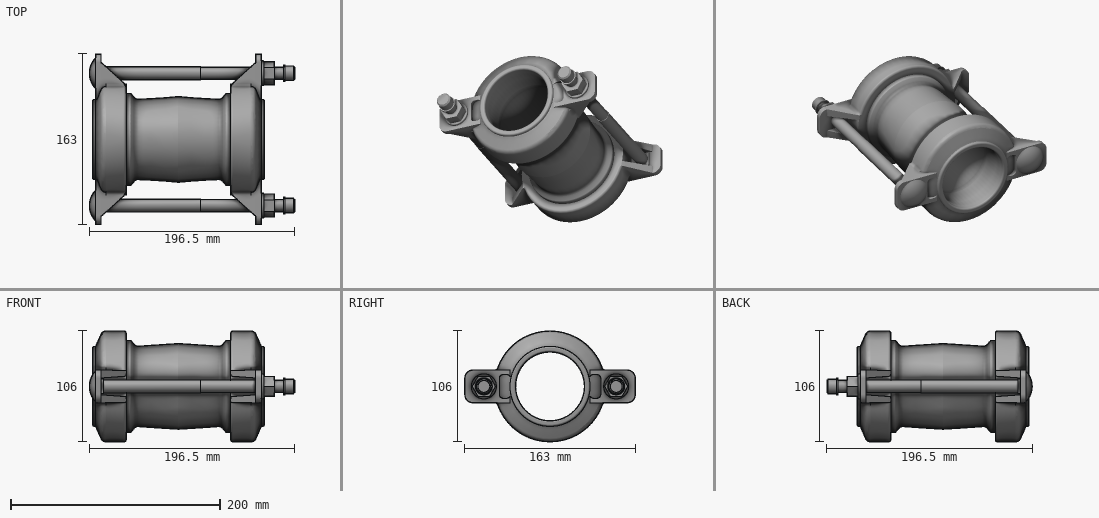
import cadquery as cq
import math

end_x = 82.1
plate_outer_x = 79.2
plate_thickness = 5.3
plate_inner_x = plate_outer_x - plate_thickness
ring_back_x = 50.0

bore_radius = 32.8
sleeve_bore_radius = 33.8
bore_taper_start_x = 49.1
bore_taper_end_x = 42.2
crown_radius = 41.0
waist_radius = 38.5
waist_x = 38.5
shoulder_radius = 39.9
shoulder_x = 42.0
flange_radius = 44.0
flange_x = 45.5
flange_rounding = 1.5

ring_radius = 53.0
cone_base_x = 72.7
ring_front_fillet = 5.3
ring_back_fillet = 2.4
lip_radius = 38.3
lip_rounding = 1.8
cone_angle = math.atan2(ring_radius - lip_radius, plate_outer_x - cone_base_x)
rim_start_x = cone_base_x - ring_front_fillet * math.tan(cone_angle / 2)

ear_half_length = 81.5
ear_half_width = 15.7
ear_corner_radius = 7.9
ear_root_y = 38.3
rib_tip_y = ear_half_length - ear_corner_radius
rib_shoulder_y = 54.0
rib_end_half_width = 15.1
rib_root_inner_z = 8.0
rib_end_inner_z = 9.8
rib_root_fillet = 3.1
slot_inner_y = 37.7
slot_outer_y = 48.5
slot_half_height = 11.4
slot_corner_radius = 4.0

bolt_y = 63.3
head_radius = 14.7
head_height = 6.0
neck_side = 13.8
neck_length = 2.4
shank_radius = 6.3
thread_radius = 5.9
thread_start_x = 21.0
washer_radius = 12.0
washer_thickness = 2.4
washer_fillet = 0.8
nut_across_corners = 22.2
nut_end_x = 91.8
collar_radius = 8.0
collar_start_x = 100.6
collar_width = 1.2
tip_radius = 7.0
tip_chamfer = 1.4
overall_length = 196.5
bolt_end_x = overall_length - plate_outer_x - head_height


def mirrored(shape):
    """Return the shape together with its copy on the other side of X = 0."""
    return shape.union(shape.mirror("YZ"))


def revolve_about_x(profile):
    return profile.close().revolve(360, (0, 0, 0), (1, 0, 0))


def x_cylinder(radius, start_x, stop_x):
    return cq.Workplane("YZ", origin=(start_x, 0, 0)).circle(radius).extrude(stop_x - start_x)


def rim_at(x, radius):
    """Select the circular edge of the given radius lying in the plane at X = x."""
    near = 0.2
    reach = radius + near
    slab = cq.selectors.BoxSelector((x - near, -reach, -reach), (x + near, reach, reach), boundingbox=True)
    return slab - cq.selectors.BoxSelector(
        (x - near, near - radius, near - radius), (x + near, radius - near, radius - near), boundingbox=True
    )


def half_sleeve():
    profile = (
        cq.Workplane("XZ")
        .moveTo(0, 0)
        .lineTo(0, crown_radius)
        .lineTo(-waist_x, waist_radius)
        .tangentArcPoint((-shoulder_x, shoulder_radius), relative=False)
        .lineTo(-flange_x, flange_radius)
        .lineTo(-ring_back_x, flange_radius)
        .lineTo(-ring_back_x, 0)
    )
    sleeve = revolve_about_x(profile)
    return sleeve.edges(rim_at(-flange_x, flange_radius)).fillet(flange_rounding)


def half_bore():
    profile = (
        cq.Workplane("XZ")
        .moveTo(0, 0)
        .lineTo(0, sleeve_bore_radius)
        .lineTo(-bore_taper_end_x, sleeve_bore_radius)
        .lineTo(-bore_taper_start_x, bore_radius)
        .lineTo(-end_x, bore_radius)
        .lineTo(-end_x, 0)
    )
    return revolve_about_x(profile)


def clamp_front():
    """Conical front of the clamp ring, blended into its rim, with the gland lip."""
    arc_centre_r = ring_radius - ring_front_fillet
    arc_middle = (
        -rim_start_x - ring_front_fillet * math.sin(cone_angle / 2),
        arc_centre_r + ring_front_fillet * math.cos(cone_angle / 2),
    )
    arc_end = (
        -rim_start_x - ring_front_fillet * math.sin(cone_angle),
        arc_centre_r + ring_front_fillet * math.cos(cone_angle),
    )
    profile = (
        cq.Workplane("XZ")
        .moveTo(-rim_start_x, 0)
        .lineTo(-rim_start_x, ring_radius)
        .threePointArc(arc_middle, arc_end)
        .lineTo(-plate_outer_x, lip_radius)
        .lineTo(-end_x, lip_radius)
        .lineTo(-end_x, 0)
    )
    return revolve_about_x(profile)


def ear_plate():
    length = ear_half_length - ear_root_y
    plate = (
        cq.Workplane("YZ", origin=(-plate_outer_x, 0, 0))
        .center(ear_root_y + length / 2, 0)
        .rect(length, 2 * ear_half_width)
        .extrude(plate_thickness)
        .edges("|X and >Y")
        .fillet(ear_corner_radius)
    )
    slot = (
        cq.Workplane("YZ", origin=(-plate_outer_x, 0, 0))
        .center((slot_inner_y + slot_outer_y) / 2, 0)
        .rect(slot_outer_y - slot_inner_y, 2 * slot_half_height)
        .extrude(plate_thickness)
        .edges("|X")
        .fillet(slot_corner_radius)
    )
    return plate.cut(slot)


def ear_ribs():
    rib_shoulder_x = ring_back_x + ring_back_fillet
    gusset = (
        cq.Workplane("XY", origin=(0, 0, -ear_half_width))
        .moveTo(-plate_inner_x, ear_root_y)
        .lineTo(-plate_inner_x, rib_tip_y)
        .lineTo(-rib_shoulder_x, rib_shoulder_y)
        .lineTo(-ring_back_x, rib_shoulder_y - ring_back_fillet)
        .lineTo(-ring_back_x, ear_root_y)
        .close()
        .extrude(2 * ear_half_width)
    )
    upper_taper = (
        cq.Workplane("XZ")
        .moveTo(-plate_inner_x, rib_root_inner_z)
        .lineTo(-plate_inner_x, ear_half_width)
        .lineTo(-ring_back_x, rib_end_half_width)
        .lineTo(-ring_back_x, rib_end_inner_z)
        .close()
        .extrude(-ear_half_length)
    )
    upper_rib = gusset.intersect(upper_taper)
    return upper_rib.union(upper_rib.mirror("XY"))


def clamp_rim(ribs):
    """Cylindrical rim of the clamp ring, with the corners along the outer sides of the ribs rounded."""
    rim_length = rim_start_x - ring_back_x
    rim_zone = cq.Workplane("YZ", origin=(-rim_start_x, 0, 0)).circle(2 * ring_radius).extrude(rim_length)
    rim = x_cylinder(ring_radius, -rim_start_x, -ring_back_x).union(ribs.intersect(rim_zone))
    root_x = -(rim_start_x + ring_back_x) / 2
    root_y = math.sqrt(ring_radius**2 - ear_half_width**2)
    for side_y in (-1, 1):
        for side_z in (-1, 1):
            corner = (root_x, side_y * root_y, side_z * ear_half_width)
            rim = rim.edges(cq.selectors.NearestToPointSelector(corner)).fillet(rib_root_fillet)
    for side_z in (-1, 1):
        back_edge = cq.selectors.NearestToPointSelector((-ring_back_x, 0, side_z * ring_radius))
        rim = rim.edges(back_edge).fillet(ring_back_fillet)
    return rim


def clamp():
    ribs = ear_ribs()
    ribs = ribs.union(ribs.mirror("XZ"))
    plate = ear_plate()
    ears = plate.union(plate.mirror("XZ")).union(ribs)
    return clamp_front().union(clamp_rim(ribs)).union(ears)


def bolt():
    head_sphere_radius = (head_radius**2 + head_height**2) / (2 * head_height)
    head_rise = math.sqrt(head_sphere_radius**2 - (head_radius / 2) ** 2) - (head_sphere_radius - head_height)
    head_profile = (
        cq.Workplane("XY")
        .moveTo(-plate_outer_x, 0)
        .lineTo(-plate_outer_x, head_radius)
        .threePointArc((-plate_outer_x - head_rise, head_radius / 2), (-plate_outer_x - head_height, 0))
    )
    neck_end_x = -plate_inner_x + neck_length
    neck = (
        cq.Workplane("YZ", origin=(-plate_outer_x, 0, 0))
        .rect(neck_side, neck_side)
        .extrude(neck_end_x + plate_outer_x)
    )
    washer_end_x = plate_outer_x + washer_thickness
    washer = x_cylinder(washer_radius, plate_outer_x, washer_end_x).faces(">X").edges().fillet(washer_fillet)
    nut = (
        cq.Workplane("YZ", origin=(washer_end_x, 0, 0))
        .polygon(6, nut_across_corners)
        .extrude(nut_end_x - washer_end_x)
    )
    tip = x_cylinder(tip_radius, collar_start_x, bolt_end_x).faces(">X").chamfer(tip_chamfer)
    parts = [
        neck,
        x_cylinder(shank_radius, -plate_outer_x, thread_start_x),
        x_cylinder(thread_radius, thread_start_x, collar_start_x),
        washer,
        nut,
        x_cylinder(collar_radius, collar_start_x, collar_start_x + collar_width),
        tip,
    ]
    body = revolve_about_x(head_profile)
    for part in parts:
        body = body.union(part)
    return body.translate((0, bolt_y, 0))


half_fitting = half_sleeve().union(clamp()).cut(half_bore()).faces("<X").edges().fillet(lip_rounding)
fitting = mirrored(half_fitting)
one_bolt = bolt()
result = fitting.union(one_bolt).union(one_bolt.mirror("XZ"))